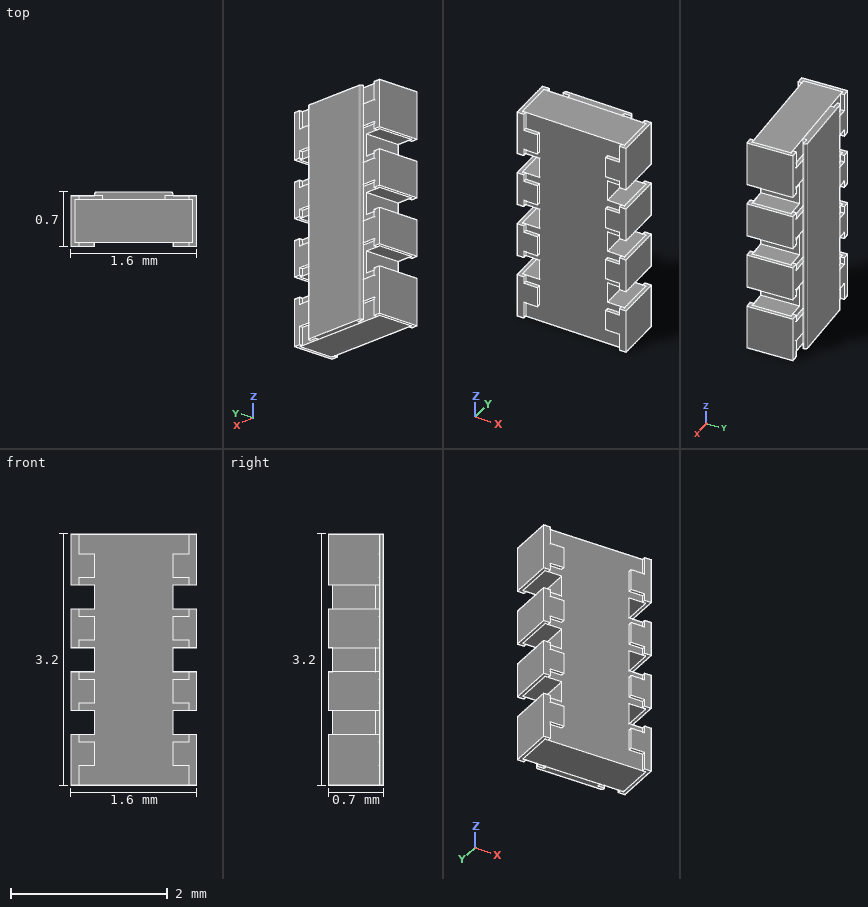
import cadquery as cq

length = 3.2
width = 1.6
element_count = 4
pitch = length / element_count

plating = 0.05
substrate_depth = 0.55
substrate_back = plating + substrate_depth
notch_height = 0.3
waist_width = 1.0
notch_floor = waist_width / 2

terminal_depth = substrate_back + plating
lip_reach = 0.1
tab_height = 0.3
front_tab_reach = width / 2 - notch_floor
back_tab_reach = 0.4

coating_depth = 0.1
coating_back = substrate_back + coating_depth
flange_width = waist_width
web_width = width - 2 * back_tab_reach
edge_radius = 0.035


def block(x_start, x_end, y_start, y_end, z_start, z_end):
    """Rectangular block between two opposite corners."""
    size = (x_end - x_start, y_end - y_start, z_end - z_start)
    return cq.Workplane("XY").box(*size, centered=False).translate((x_start, y_start, z_start))


def make_substrate():
    """Ceramic plate with a notch in each side between every two elements."""
    half_width = width / 2 - plating
    plate = block(-half_width, half_width, plating, substrate_back, -length / 2, length / 2)
    for gap in range(1, element_count):
        notch_centre = -length / 2 + gap * pitch
        notch_bottom = notch_centre - notch_height / 2
        notch_top = notch_centre + notch_height / 2
        right_notch = block(notch_floor, width / 2, 0, terminal_depth, notch_bottom, notch_top)
        plate = plate.cut(right_notch).cut(right_notch.mirror("YZ"))
    return plate


def make_terminal(index):
    """Right-hand terminal wrapped around one finger of the substrate."""
    bottom = -length / 2 + index * pitch
    top = bottom + pitch
    tab_centre = (bottom + top) / 2
    if index > 0:
        bottom += notch_height / 2
    if index < element_count - 1:
        top -= notch_height / 2
    tab_bottom = tab_centre - tab_height / 2
    tab_top = tab_centre + tab_height / 2

    outer = width / 2
    channel = block(outer - lip_reach, outer, 0, terminal_depth, bottom, top)
    front_tab = block(outer - front_tab_reach, outer, 0, plating, tab_bottom, tab_top)
    back_tab = block(outer - back_tab_reach, outer, substrate_back, terminal_depth, tab_bottom, tab_top)
    finger_space = block(0, outer - plating, plating, substrate_back, bottom, top)
    return channel.union(front_tab).union(back_tab).cut(finger_space)


def make_coating():
    """T-section strip over the full length, with rounded outer edges."""
    web = block(-web_width / 2, web_width / 2, substrate_back, terminal_depth, -length / 2, length / 2)
    flange = block(
        -flange_width / 2, flange_width / 2, terminal_depth, coating_back, -length / 2, length / 2
    )
    flange = flange.faces(">Y").edges("|Z").fillet(edge_radius)
    return web.union(flange)


substrate = make_substrate()
coating = make_coating()
terminals = []
for element in range(element_count):
    right_terminal = make_terminal(element)
    terminals.append(right_terminal.val())
    terminals.append(right_terminal.mirror("YZ").val())

result = cq.Compound.makeCompound([substrate.val(), coating.val(), *terminals])